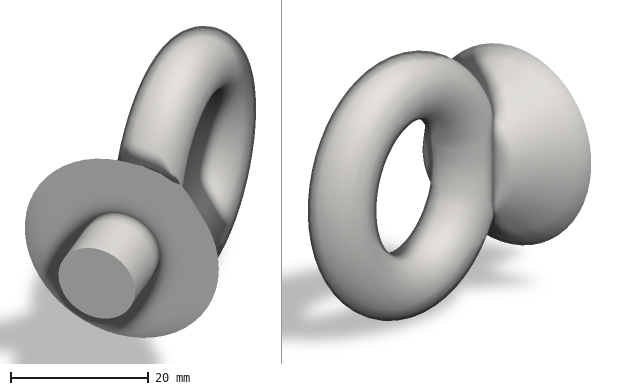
import cadquery as cq

overall_length = 55.0

ring_outer_diameter = 40.0
ring_bar_diameter = 10.0
ring_centre_radius = (ring_outer_diameter - ring_bar_diameter) / 2

pin_diameter = 12.0
pin_length = 10.0

collar_base_diameter = 30.4
collar_top_diameter = 16.0
collar_height = 10.25
collar_edge_radius = 2.0

ring_centre_y = overall_length - ring_outer_diameter / 2


def make_pin():
    """Plain cylinder from Y = 0 to the collar's flat face."""
    return cq.Workplane("XZ").circle(pin_diameter / 2).extrude(-pin_length)


def make_collar():
    """Cone narrowing toward the ring, with its top edge rounded."""
    top_y = pin_length + collar_height
    cone = (
        cq.Workplane("XY")
        .moveTo(0, pin_length)
        .lineTo(collar_base_diameter / 2, pin_length)
        .lineTo(collar_top_diameter / 2, top_y)
        .lineTo(0, top_y)
        .close()
        .revolve(360, (0, 0, 0), (0, 1, 0))
    )
    return cone.faces(">Y").edges().fillet(collar_edge_radius)


def make_ring():
    """Closed round bar lying in the YZ plane."""
    ring_centre = cq.Vector(0, ring_centre_y, 0)
    ring_axis = cq.Vector(1, 0, 0)
    torus = cq.Solid.makeTorus(ring_centre_radius, ring_bar_diameter / 2, ring_centre, ring_axis)
    return cq.Workplane("XY").add(torus)


result = make_collar().union(make_pin()).union(make_ring())